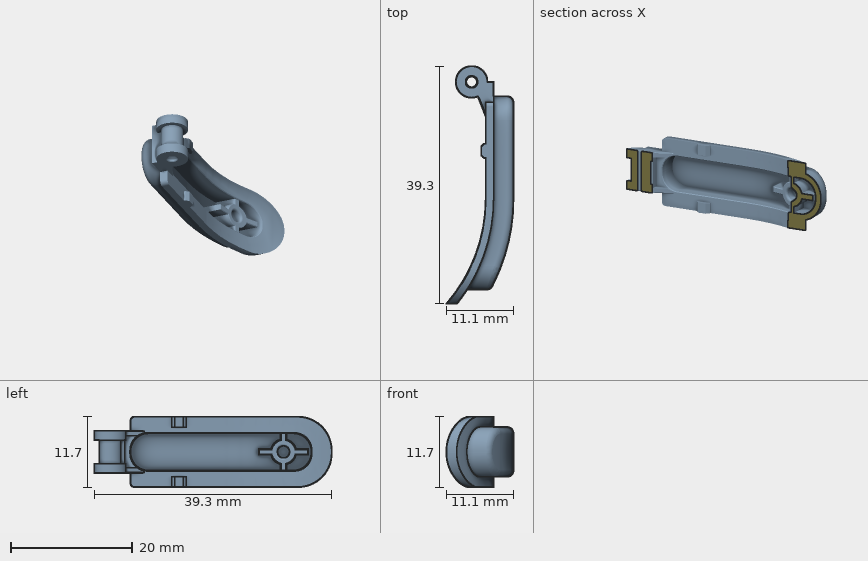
import cadquery as cq
import math


OVERALL_LENGTH = 39.25
OVERALL_HEIGHT = 11.65

CHEEK_RADIUS = 2.625
HUB_RADIUS = 1.8
PIN_HOLE_DIAMETER = 1.75
PIN_HOLE_CHAMFER = 0.125
HINGE_HALF_HEIGHT = 3.5
CHEEK_INNER_Z = 1.925
GUSSET_INNER_Z = 2.65
GUSSET_CHAMFER = 0.12
GUSSET_FOOT_Y = -5.65
WEB_START_Y = -1.73
WEB_END_Y = -2.42

FLANGE_INNER_X = 2.3
FLANGE_THICKNESS = 1.32
FLANGE_OUTER_X = FLANGE_INNER_X + FLANGE_THICKNESS
FLANGE_TOP_Y = -3.375
FLANGE_TIP_Y = CHEEK_RADIUS - OVERALL_LENGTH
FLANGE_HALF_HEIGHT = OVERALL_HEIGHT / 2
FLANGE_CORNER_RADIUS = 0.7
TIP_FLAT = 0.4
BEND_START_Y = -19.4
BEND_INNER_RADIUS = 26.15
BEND_CENTER_X = FLANGE_INNER_X - BEND_INNER_RADIUS

CUP_OUTER_X = 6.925
CUP_TOP_Y = -2.35
CUP_BOTTOM_Y = -34.3
CUP_HALF_HEIGHT = 4.125
CUP_EDGE_RADIUS = 1.1
WALL = 1.08
FLOOR_X = CUP_OUTER_X - WALL
RIM_CHAMFER = 0.12

BOSS_Y = -28.65
BOSS_RADIUS = 2.1
BOSS_RECESS = 0.2
BOSS_CHAMFER = 0.12
RIB_WIDTH = 1.0
RIB_HALF_LENGTH = 4.1
SCREW_HOLE_DIAMETER = 2.0
SCREW_HOLE_ROUNDING = 0.32

TAB_TOP_Y = -10.17
TAB_LENGTH = 2.42
TAB_WIDTH = 1.75
TAB_RISE = 0.75
TAB_CHAMFER = 0.5

OVERRUN = 3.0


def bent_band(inner_x, outer_x):
    """Full-height band between two parallel surfaces that follow the lever's bend."""
    inner_radius = inner_x - BEND_CENTER_X
    outer_radius = outer_x - BEND_CENTER_X
    sweep = math.asin((BEND_START_Y - FLANGE_TIP_Y + OVERRUN) / inner_radius)

    def on_bend(radius, angle):
        return (BEND_CENTER_X + radius * math.cos(angle), BEND_START_Y - radius * math.sin(angle))

    return (
        cq.Workplane("XY")
        .moveTo(inner_x, OVERRUN)
        .lineTo(outer_x, OVERRUN)
        .lineTo(outer_x, BEND_START_Y)
        .threePointArc(on_bend(outer_radius, sweep / 2), on_bend(outer_radius, sweep))
        .lineTo(*on_bend(inner_radius, sweep))
        .threePointArc(on_bend(inner_radius, sweep / 2), (inner_x, BEND_START_Y))
        .close()
        .extrude(FLANGE_HALF_HEIGHT + OVERRUN, both=True)
    )


def bend_inner_x(y):
    """X of the flange's inner surface at a given Y within the bend."""
    return BEND_CENTER_X + math.sqrt(BEND_INNER_RADIUS**2 - (BEND_START_Y - y) ** 2)


def rounded_prism(start_x, top_y, bottom_y, half_height, top_radius, bottom_radius):
    """Prism along +X whose YZ outline is a rectangle with rounded top and bottom corners."""
    length = CUP_OUTER_X - start_x + OVERRUN
    top_diagonal = top_radius * (1 - math.sqrt(0.5))
    bottom_diagonal = bottom_radius * (1 - math.sqrt(0.5))
    h = half_height
    return (
        cq.Workplane("YZ", origin=(start_x, 0, 0))
        .moveTo(top_y, h - top_radius)
        .threePointArc((top_y - top_diagonal, h - top_diagonal), (top_y - top_radius, h))
        .lineTo(bottom_y + bottom_radius, h)
        .threePointArc((bottom_y + bottom_diagonal, h - bottom_diagonal), (bottom_y, h - bottom_radius))
        .lineTo(bottom_y, bottom_radius - h)
        .threePointArc((bottom_y + bottom_diagonal, bottom_diagonal - h), (bottom_y + bottom_radius, -h))
        .lineTo(top_y - top_radius, -h)
        .threePointArc((top_y - top_diagonal, top_diagonal - h), (top_y, top_radius - h))
        .close()
        .extrude(length)
    )


def slab(profile, z_low, z_high):
    """Closed XY polygon extruded between two heights."""
    return cq.Workplane("XY", origin=(0, 0, z_low)).polyline(profile).close().extrude(z_high - z_low)


def make_flange():
    """Curved plate with a rounded tip and small corners at the hinge end."""
    tip_radius = FLANGE_HALF_HEIGHT - TIP_FLAT / 2
    outline = rounded_prism(
        -CUP_OUTER_X, FLANGE_TOP_Y, FLANGE_TIP_Y, FLANGE_HALF_HEIGHT, FLANGE_CORNER_RADIUS, tip_radius
    )
    return bent_band(FLANGE_INNER_X, FLANGE_OUTER_X).intersect(outline)


def make_cup():
    """Solid cup body with a rounded outer edge, sunk halfway into the flange."""
    end_radius = CUP_HALF_HEIGHT - TIP_FLAT / 2
    outline = rounded_prism(
        -CUP_OUTER_X, CUP_TOP_Y, CUP_BOTTOM_Y, CUP_HALF_HEIGHT, end_radius, end_radius
    )
    cup = bent_band(FLANGE_OUTER_X - FLANGE_THICKNESS / 2, CUP_OUTER_X).intersect(outline)
    return cup.faces(">X").edges().fillet(CUP_EDGE_RADIUS)


def make_cavity_outline(wall):
    """Prism through the lever that leaves the given wall around the cup's inside."""
    half_height = CUP_HALF_HEIGHT - wall
    end_radius = half_height - TIP_FLAT / 2
    return rounded_prism(
        -CUP_OUTER_X, CUP_TOP_Y - wall, CUP_BOTTOM_Y + wall, half_height, end_radius, end_radius
    )


def make_shell():
    """Flange, back plate of the hinge and hollow cup, with a chamfered rim around the cavity."""
    back_plate = (
        cq.Workplane("XY")
        .rect(FLANGE_THICKNESS, FLANGE_TOP_Y - WALL, centered=False)
        .extrude(HINGE_HALF_HEIGHT, both=True)
        .translate((FLANGE_INNER_X, 0, 0))
    )
    cavity = bent_band(FLANGE_INNER_X - OVERRUN, FLOOR_X).intersect(make_cavity_outline(WALL))
    shell = make_flange().union(make_cup()).union(back_plate).cut(cavity)
    bend_middle_y = (BEND_START_Y + FLANGE_TIP_Y) / 2
    flat_face = cq.selectors.NearestToPointSelector((FLANGE_INNER_X, BEND_START_Y / 2, 0))
    bent_face = cq.selectors.NearestToPointSelector((bend_inner_x(bend_middle_y), bend_middle_y, 0))
    rim_zone = cq.selectors.BoxSelector(
        (-CUP_OUTER_X, CUP_BOTTOM_Y, -CUP_HALF_HEIGHT),
        (CUP_OUTER_X, CUP_TOP_Y - WALL / 2, CUP_HALF_HEIGHT),
        boundingbox=True,
    )
    return shell.faces(flat_face + bent_face).edges(rim_zone).chamfer(RIM_CHAMFER)


def make_boss():
    """Screw boss and ribs, capped by a surface parallel to the cavity floor."""
    depth = 2 * CUP_OUTER_X
    top_x = FLANGE_INNER_X + BOSS_RECESS
    plane = cq.Workplane("YZ", origin=(-CUP_OUTER_X, BOSS_Y, 0))
    cross = (
        plane.circle(BOSS_RADIUS)
        .extrude(depth)
        .union(plane.rect(2 * RIB_HALF_LENGTH, RIB_WIDTH).extrude(depth))
        .union(plane.rect(RIB_WIDTH, 2 * CUP_HALF_HEIGHT - WALL).extrude(depth))
    )
    boss = cross.intersect(bent_band(top_x, FLOOR_X + WALL / 2))
    top_face = cq.selectors.NearestToPointSelector((bend_inner_x(BOSS_Y) + BOSS_RECESS, BOSS_Y, 0))
    boss = boss.faces(top_face).edges().chamfer(BOSS_CHAMFER)
    boss = boss.cut(plane.circle(SCREW_HOLE_DIAMETER / 2).extrude(depth))
    reach = SCREW_HOLE_DIAMETER / 2 + SCREW_HOLE_ROUNDING
    hole_edges = cq.selectors.BoxSelector(
        (-depth, BOSS_Y - reach, -reach), (depth, BOSS_Y + reach, reach), boundingbox=True
    )
    return boss.edges(hole_edges).edges("<X").fillet(SCREW_HOLE_ROUNDING)


def make_gussets():
    """Block from hub to flange, hollowed into a web at the hub and two sloped gussets."""
    web_start_x = math.sqrt(HUB_RADIUS**2 - WEB_START_Y**2)
    web_end_x = math.sqrt(CHEEK_RADIUS**2 - WEB_END_Y**2)
    profile = [
        (0, 0),
        (web_start_x, WEB_START_Y),
        (web_end_x, WEB_END_Y),
        (FLANGE_INNER_X, GUSSET_FOOT_Y),
        (FLANGE_INNER_X, 0),
    ]
    slope_middle = ((web_end_x + FLANGE_INNER_X) / 2, (WEB_END_Y + GUSSET_FOOT_Y) / 2)
    block = slab(profile, -HINGE_HALF_HEIGHT, HINGE_HALF_HEIGHT)
    for z in (-HINGE_HALF_HEIGHT, HINGE_HALF_HEIGHT):
        sloped_edge = cq.selectors.NearestToPointSelector((*slope_middle, z))
        block = block.edges(sloped_edge).chamfer(GUSSET_CHAMFER)
    pocket = (
        cq.Workplane("XY", origin=(0, WEB_END_Y, 0))
        .rect(FLANGE_INNER_X, GUSSET_FOOT_Y - WEB_END_Y, centered=False)
        .extrude(GUSSET_INNER_Z, both=True)
    )
    return block.cut(pocket).cut(make_cavity_outline(WALL - RIM_CHAMFER))


def make_hinge():
    """Gussets with the hub and the two cheeks it carries."""
    hub = cq.Workplane("XY", origin=(0, 0, -CHEEK_INNER_Z)).circle(HUB_RADIUS).extrude(2 * CHEEK_INNER_Z)
    cheek = (
        cq.Workplane("XY", origin=(0, 0, CHEEK_INNER_Z))
        .circle(CHEEK_RADIUS)
        .extrude(HINGE_HALF_HEIGHT - CHEEK_INNER_Z)
    )
    return make_gussets().union(hub).union(cheek).union(cheek.mirror("XY"))


def make_pin_hole():
    """Hole for the hinge pin, opened out by a chamfer at both ends."""
    hole = cq.Workplane("XY").circle(PIN_HOLE_DIAMETER / 2).extrude(HINGE_HALF_HEIGHT, both=True)
    mouth = (
        cq.Workplane("XY", origin=(0, 0, HINGE_HALF_HEIGHT))
        .circle(PIN_HOLE_DIAMETER / 2 + PIN_HOLE_CHAMFER)
        .workplane(offset=-PIN_HOLE_CHAMFER)
        .circle(PIN_HOLE_DIAMETER / 2)
        .loft()
    )
    return hole.union(mouth).union(mouth.mirror("XY"))


def make_upper_tab():
    """Locating tab with chamfered crest at the +Z edge of the flange."""
    bottom_y = TAB_TOP_Y - TAB_LENGTH
    crest_x = FLANGE_INNER_X - TAB_RISE
    root_x = FLANGE_INNER_X + FLANGE_THICKNESS / 2
    profile = [
        (root_x, TAB_TOP_Y),
        (crest_x + TAB_CHAMFER, TAB_TOP_Y),
        (crest_x, TAB_TOP_Y - TAB_CHAMFER),
        (crest_x, bottom_y + TAB_CHAMFER),
        (crest_x + TAB_CHAMFER, bottom_y),
        (root_x, bottom_y),
    ]
    return slab(profile, FLANGE_HALF_HEIGHT - TAB_WIDTH, FLANGE_HALF_HEIGHT)


upper_tab = make_upper_tab()
body = make_shell().union(make_hinge()).union(upper_tab).union(upper_tab.mirror("XY"))
result = body.union(make_boss()).cut(make_pin_hole())